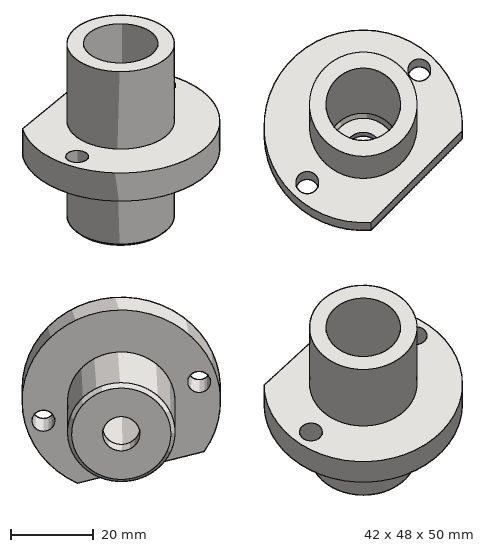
import cadquery as cq

barrel_height = 50
barrel_diameter = 26
wall = 4
floor_thickness = wall
chamfer = 1
outlet_diameter = 9

flange_diameter = 48
flange_thickness = 8
flange_bottom = 20
flat_distance = 18

bolt_hole_diameter = 5.5
bolt_circle_radius = 19.5

bore_diameter = barrel_diameter - 2 * wall


def make_barrel():
    body = cq.Workplane("XY").circle(barrel_diameter / 2).extrude(barrel_height)
    return body.faces("<Z").edges().chamfer(chamfer)


def make_flange():
    disc = cq.Workplane("XY").circle(flange_diameter / 2).extrude(flange_thickness)
    kept_length = flat_distance + flange_diameter / 2
    kept_side = cq.Workplane("XY").box(
        kept_length, flange_diameter, flange_thickness, centered=(False, True, False)
    ).translate((-flat_distance, 0, 0))
    holes = (
        cq.Workplane("XY")
        .pushPoints([(0, -bolt_circle_radius), (0, bolt_circle_radius)])
        .circle(bolt_hole_diameter / 2)
        .extrude(flange_thickness)
    )
    return disc.intersect(kept_side).cut(holes).translate((0, 0, flange_bottom))


def make_bore():
    bore = (
        cq.Workplane("XY", origin=(0, 0, floor_thickness))
        .circle(bore_diameter / 2)
        .extrude(barrel_height - floor_thickness)
        .faces("<Z")
        .edges()
        .chamfer(chamfer)
    )
    outlet = cq.Workplane("XY").circle(outlet_diameter / 2).extrude(barrel_height)
    return bore.union(outlet)


result = make_barrel().union(make_flange()).cut(make_bore())